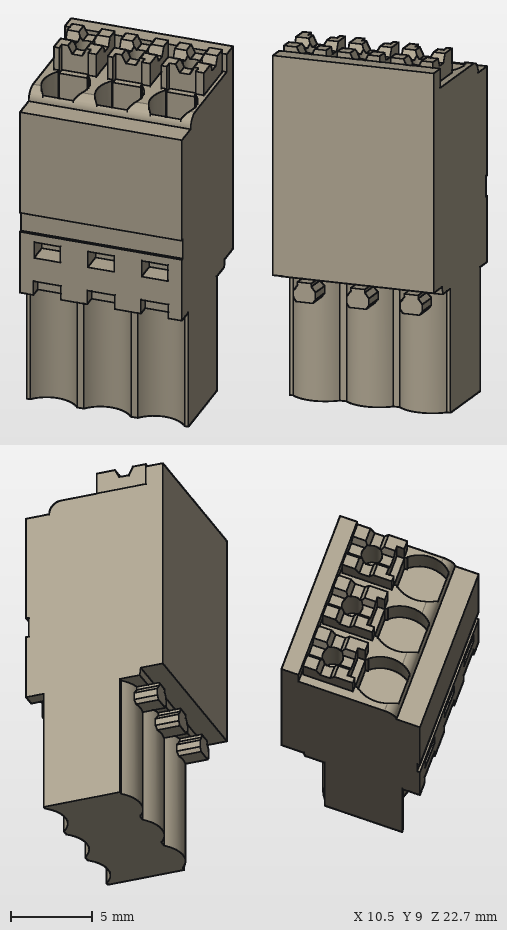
import cadquery as cq
import math

WIDTH = 10.53
DEPTH = 9.0
HEIGHT = 22.7
PITCH = 3.5
POLE_CENTRES = [-PITCH, 0.0, PITCH]

HEAD_BOTTOM = 7.9
BACK_WALL_THICKNESS = 1.11
BACK_WALL_TOP = 22.38
DECK_HEIGHT = 21.15
LEDGE_HEIGHT = 20.36
LEDGE_DEPTH = 1.52
DECK_ROUND = DECK_HEIGHT - LEDGE_HEIGHT
REAR_STEP_DEPTH = 1.45
REAR_STEP_SLANT = 0.07
REAR_STEP_HEIGHT = 8.4

BAND_BOTTOM = 12.1
BAND_TOP = 13.42
BAND_DEPTH = 0.18

WINDOW_WIDTH = 1.7
WINDOW_BOTTOM = 10.46
WINDOW_TOP = 11.55
WINDOW_DEPTH = 1.36
NOTCH_WIDTH = 1.8
NOTCH_TOP = 8.85
NOTCH_DEPTH = 0.77

PLUG_FRONT = 1.15
PLUG_BACK = 6.17
SCALLOP_WIDTH = 3.06
SCALLOP_DEPTH = 0.73
LOBE_WIDTH = SCALLOP_WIDTH
LOBE_HEIGHT = 0.64

RIB_BACK = 8.22
RIB_NECK_HALF = 0.45
RIB_HALF = 0.73
RIB_NECK_Z = 7.7
RIB_SHOULDER_Z = 7.35
RIB_CHAMFER_Z = 6.9
RIB_BOTTOM = 6.65
RIB_BOTTOM_HALF = 0.55

ENTRY_SHIFT = 0.1
ENTRY_FRONT = 1.68
ENTRY_BACK = 4.35
ENTRY_FLOOR = 19.07
ENTRY_WIDTH = 2.93
ENTRY_FLAT = 1.97

BUTTON_SHIFT = 0.14
BUTTON_WIDTH = 2.77
BUTTON_FRONT = 4.55
BUTTON_BACK = 7.76
RECESS_SHIFT = 0.05
RECESS_WIDTH = 1.88
RECESS_DEPTH = 0.48
RECESS_BOTTOM = 20.95
BORE_SHIFT = 0.1
SLOT_TOP_WIDTH = 1.18
SLOT_BOTTOM_WIDTH = 0.64
SLOT_DEPTH = 0.55
BORE_DIAMETER = 1.27
BORE_Y = 6.33


def block(x_centre, x_size, y_from, y_to, z_from, z_to):
    """Box centred across X and bounded in Y and Z."""
    box = cq.Workplane("XY").box(x_size, y_to - y_from, z_to - z_from, centered=(True, False, False))
    return box.translate((x_centre, y_from, z_from))


def make_head():
    """Clamping head: one side outline run across the whole width."""
    wall_front = DEPTH - BACK_WALL_THICKNESS
    step_front = DEPTH - REAR_STEP_DEPTH
    round_middle = DECK_ROUND * (1 - math.sqrt(0.5))
    return (
        cq.Workplane("YZ", origin=(-WIDTH / 2, 0, 0))
        .moveTo(0, HEAD_BOTTOM)
        .lineTo(0, BAND_BOTTOM)
        .lineTo(BAND_DEPTH, BAND_BOTTOM)
        .lineTo(BAND_DEPTH, BAND_TOP)
        .lineTo(0, BAND_TOP)
        .lineTo(0, LEDGE_HEIGHT)
        .lineTo(LEDGE_DEPTH, LEDGE_HEIGHT)
        .threePointArc(
            (LEDGE_DEPTH + round_middle, DECK_HEIGHT - round_middle),
            (LEDGE_DEPTH + DECK_ROUND, DECK_HEIGHT),
        )
        .lineTo(wall_front, DECK_HEIGHT)
        .lineTo(wall_front, BACK_WALL_TOP)
        .lineTo(DEPTH, BACK_WALL_TOP)
        .lineTo(DEPTH, REAR_STEP_HEIGHT)
        .lineTo(step_front, REAR_STEP_HEIGHT)
        .lineTo(step_front - REAR_STEP_SLANT, HEAD_BOTTOM)
        .close()
        .extrude(WIDTH)
    )


def make_plug():
    """Plug end: scallops along the front, one convex lobe per pole along the back."""
    outline = cq.Workplane("XY").moveTo(-WIDTH / 2, PLUG_BACK).lineTo(-WIDTH / 2, PLUG_FRONT)
    for x in POLE_CENTRES:
        outline = outline.lineTo(x - SCALLOP_WIDTH / 2, PLUG_FRONT).threePointArc(
            (x, PLUG_FRONT + SCALLOP_DEPTH), (x + SCALLOP_WIDTH / 2, PLUG_FRONT)
        )
    outline = outline.lineTo(WIDTH / 2, PLUG_FRONT).lineTo(WIDTH / 2, PLUG_BACK)
    for x in reversed(POLE_CENTRES):
        outline = outline.lineTo(x + LOBE_WIDTH / 2, PLUG_BACK).threePointArc(
            (x, PLUG_BACK + LOBE_HEIGHT), (x - LOBE_WIDTH / 2, PLUG_BACK)
        )
    return outline.close().extrude(HEAD_BOTTOM)


def make_coding_rib(x):
    """Rib with a narrow neck, sloping shoulders and a chamfered lower end."""
    half_outline = [
        (RIB_NECK_HALF, HEAD_BOTTOM),
        (RIB_NECK_HALF, RIB_NECK_Z),
        (RIB_HALF, RIB_SHOULDER_Z),
        (RIB_HALF, RIB_CHAMFER_Z),
        (RIB_BOTTOM_HALF, RIB_BOTTOM),
    ]
    mirrored = [(-across, z) for across, z in reversed(half_outline)]
    rib = cq.Workplane("XZ", origin=(x, RIB_BACK, 0)).polyline(half_outline + mirrored).close()
    return rib.extrude(RIB_BACK - PLUG_BACK)


def make_wire_entry(x):
    """Well with bowed sides, cut down through the deck with a short neck reaching the button recess."""
    half_width = ENTRY_WIDTH / 2
    half_flat = ENTRY_FLAT / 2
    middle = (ENTRY_FRONT + ENTRY_BACK) / 2
    neck = block(x + RECESS_SHIFT, RECESS_WIDTH, middle, BUTTON_FRONT, ENTRY_FLOOR, HEIGHT)
    return (
        cq.Workplane("XY", origin=(x + ENTRY_SHIFT, 0, ENTRY_FLOOR))
        .moveTo(-half_flat, ENTRY_FRONT)
        .lineTo(half_flat, ENTRY_FRONT)
        .threePointArc((half_width, middle), (half_flat, ENTRY_BACK))
        .lineTo(-half_flat, ENTRY_BACK)
        .threePointArc((-half_width, middle), (-half_flat, ENTRY_FRONT))
        .close()
        .extrude(HEIGHT - ENTRY_FLOOR)
        .union(neck)
    )


def make_button_blank(x):
    """Plain block of a button, which is also the shape of its pocket."""
    return block(x + BUTTON_SHIFT, BUTTON_WIDTH, BUTTON_FRONT, BUTTON_BACK, ENTRY_FLOOR, HEIGHT)


def make_slot(plane, origin, length):
    """Screwdriver slot with sloping sides, open at the top of a button."""
    half_top = SLOT_TOP_WIDTH / 2
    half_bottom = SLOT_BOTTOM_WIDTH / 2
    corners = [(-half_top, 0), (half_top, 0), (half_bottom, -SLOT_DEPTH), (-half_bottom, -SLOT_DEPTH)]
    return cq.Workplane(plane, origin=origin).polyline(corners).close().extrude(length, both=True)


def make_housing():
    """Head and plug in one piece, with ribs added and windows, notches, wells and pockets cut out."""
    housing = make_head().union(make_plug())
    for x in POLE_CENTRES:
        housing = housing.union(make_coding_rib(x))
        housing = housing.cut(block(x, WINDOW_WIDTH, 0, WINDOW_DEPTH, WINDOW_BOTTOM, WINDOW_TOP))
        housing = housing.cut(block(x, NOTCH_WIDTH, 0, NOTCH_DEPTH, HEAD_BOTTOM, NOTCH_TOP))
        housing = housing.cut(make_wire_entry(x))
        housing = housing.cut(make_button_blank(x))
    return housing


def make_button(x):
    """Push button with a front recess, crossed slots and a bore down its middle."""
    bore_x = x + BORE_SHIFT
    slot_centre = (bore_x, BORE_Y, HEIGHT)
    recess_back = BUTTON_FRONT + RECESS_DEPTH
    bore = cq.Workplane("XY", origin=(bore_x, BORE_Y, ENTRY_FLOOR)).circle(BORE_DIAMETER / 2)
    return (
        make_button_blank(x)
        .cut(block(x + RECESS_SHIFT, RECESS_WIDTH, BUTTON_FRONT, recess_back, RECESS_BOTTOM, HEIGHT))
        .cut(make_slot("XZ", slot_centre, DEPTH))
        .cut(make_slot("YZ", slot_centre, BUTTON_WIDTH))
        .cut(bore.extrude(HEIGHT - ENTRY_FLOOR))
    )


housing = make_housing()
buttons = [make_button(x) for x in POLE_CENTRES]

result = cq.Compound.makeCompound([housing.val(), *[button.val() for button in buttons]])